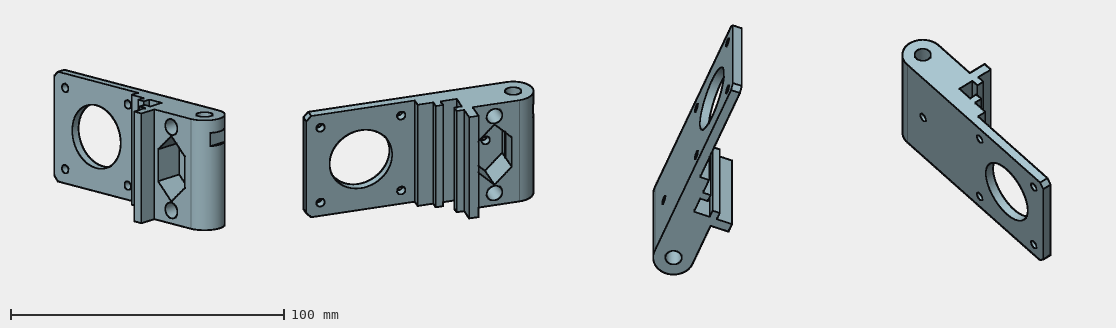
import cadquery as cq

length = 85.7
depth = 22.0
height = 42.0

body_thickness = 15.0
end_radius = body_thickness / 2
pivot_x = length - end_radius
pivot_diameter = 6.0
plate_thickness = 3.5
step_thickness = 2 * plate_thickness
step_x = 41.65
rib_width = 2.8
rib_x = 47.65
rib_tip_y = -10.0
wall_x = 56.65
wall_width = 3.6
tab_length = 2.9
tab_back_y = -13.2
tab_front_y = tab_back_y - rib_width

corner_length = 1.9
corner_height = 2.0
motor_x = 21.0
motor_bore = 24.0
screw_spacing = 31.0
screw_diameter = 3.2

recess_x = 68.65
recess_depth = body_thickness - plate_thickness
pocket_half_width = 6.6
pocket_side_half_height = 6.1
pocket_half_height = 12.5
round_recess_diameter = 6.0
round_recess_z = 15.9
centre_hole_x = 69.0

notch_depth = 1.1
notch_height = 5.05
notch_z = 13.5


def front_plane(y):
    """Sketch plane with local axes X and Z, facing -Y, at the given Y."""
    return cq.Workplane("XZ", origin=(0, y, 0))


def make_body():
    """Stepped bracket profile with a rounded hinge end, extruded along Z."""
    return (
        cq.Workplane("XY", origin=(0, 0, -height / 2))
        .moveTo(0, 0)
        .lineTo(pivot_x, 0)
        .threePointArc((length, -end_radius), (pivot_x, -body_thickness))
        .lineTo(wall_x + wall_width, -body_thickness)
        .lineTo(wall_x + wall_width, -depth)
        .lineTo(wall_x, -depth)
        .lineTo(wall_x, tab_front_y)
        .lineTo(wall_x - tab_length, tab_front_y)
        .lineTo(wall_x - tab_length, tab_back_y)
        .lineTo(wall_x, tab_back_y)
        .lineTo(wall_x, -step_thickness)
        .lineTo(rib_x + rib_width, -step_thickness)
        .lineTo(rib_x + rib_width, rib_tip_y)
        .lineTo(rib_x, rib_tip_y)
        .lineTo(rib_x, -step_thickness)
        .lineTo(step_x, -step_thickness)
        .lineTo(step_x, -plate_thickness)
        .lineTo(0, -plate_thickness)
        .close()
        .extrude(height)
    )


def make_corner_cut(side):
    """Wedge that bevels one plate corner; side is +1 for top, -1 for bottom."""
    edge_z = side * height / 2
    return (
        front_plane(0)
        .polyline([
            (0, edge_z),
            (corner_length, edge_z),
            (0, edge_z - side * corner_height),
        ])
        .close()
        .extrude(plate_thickness)
    )


def make_motor_holes():
    """Large bore with a square pattern of four screw holes."""
    bore = front_plane(0).center(motor_x, 0).circle(motor_bore / 2).extrude(plate_thickness)
    screws = (
        front_plane(0)
        .center(motor_x, 0)
        .rect(screw_spacing, screw_spacing, forConstruction=True)
        .vertices()
        .circle(screw_diameter / 2)
        .extrude(plate_thickness)
    )
    return bore.union(screws)


def make_recesses():
    """Pointed six-sided pocket, a round recess at each point and a through hole."""
    floor = front_plane(-plate_thickness).center(recess_x, 0)
    pocket = (
        floor
        .polyline([
            (0, pocket_half_height),
            (pocket_half_width, pocket_side_half_height),
            (pocket_half_width, -pocket_side_half_height),
            (0, -pocket_half_height),
            (-pocket_half_width, -pocket_side_half_height),
            (-pocket_half_width, pocket_side_half_height),
        ])
        .close()
        .extrude(recess_depth)
    )
    round_recesses = (
        floor
        .pushPoints([(0, round_recess_z), (0, -round_recess_z)])
        .circle(round_recess_diameter / 2)
        .extrude(recess_depth)
    )
    centre_hole = (
        front_plane(0)
        .center(centre_hole_x, 0)
        .circle(screw_diameter / 2)
        .extrude(body_thickness)
    )
    return pocket.union(round_recesses).union(centre_hole)


def make_pivot_hole():
    """Hinge hole running the full height of the rounded end."""
    return (
        cq.Workplane("XY", origin=(pivot_x, -end_radius, -height / 2))
        .circle(pivot_diameter / 2)
        .extrude(height)
    )


def make_notch():
    """Shallow flat-bottomed cut across the tip of the rounded end."""
    return (
        cq.Workplane("XY")
        .box(notch_depth, body_thickness, notch_height)
        .translate((length - notch_depth / 2, -end_radius, notch_z))
    )


result = make_body()
for corner_side in (1, -1):
    result = result.cut(make_corner_cut(corner_side))
result = (
    result
    .cut(make_motor_holes())
    .cut(make_recesses())
    .cut(make_pivot_hole())
    .cut(make_notch())
)